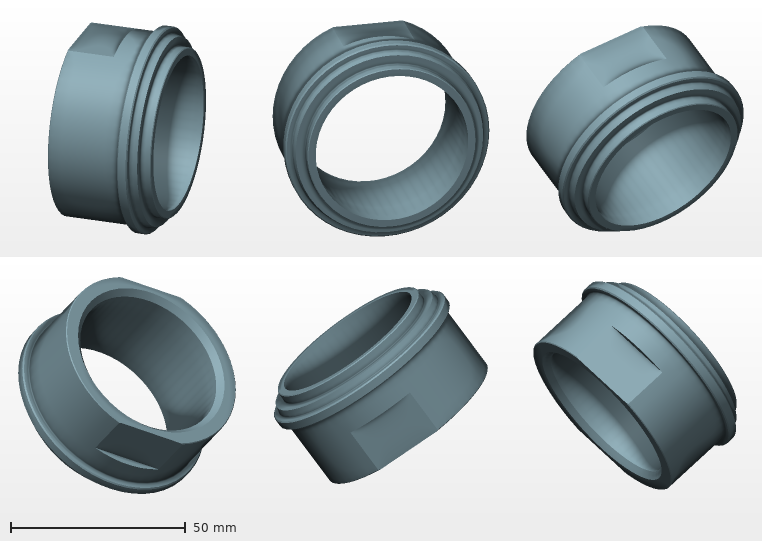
import cadquery as cq
import math

length = 30.0
collar_start = 21.5
collar_end = 24.55
taper_end = 26.9

bore_radius = 44.8 / 2
mouth_radius = 48.25 / 2
body_radius = 56.0 / 2
collar_radius = 60.0 / 2
taper_end_radius = 27.55
spigot_radius = 49.5 / 2

mouth_depth = 1.75
body_chamfer = 0.25
collar_chamfer = 0.35
spigot_chamfer = 0.25
root_fillet = 0.35

across_flats = 51.95
flat_length = 14.0


def root_arc(profile, start, end, center, x_sign):
    """Run the profile to a root corner and round it; x_sign points from the center to the corner."""
    offset = root_fillet / math.sqrt(2)
    middle = (center[0] + x_sign * offset, center[1] - offset)
    return profile.lineTo(*start).threePointArc(middle, end)


def make_ring():
    """Revolve the half section, drawn as (axial position, radius)."""
    fillet_radius = body_radius + root_fillet
    before_collar = collar_start - root_fillet
    after_collar = collar_end + root_fillet
    after_taper = taper_end + root_fillet
    spigot_fillet_radius = spigot_radius + root_fillet

    profile = (
        cq.Workplane("XY")
        .moveTo(0, mouth_radius)
        .lineTo(0, body_radius - body_chamfer)
        .lineTo(body_chamfer, body_radius)
    )
    profile = root_arc(
        profile, (before_collar, body_radius), (collar_start, fillet_radius),
        (before_collar, fillet_radius), 1,
    )
    profile = (
        profile.lineTo(collar_start, collar_radius - collar_chamfer)
        .lineTo(collar_start + collar_chamfer, collar_radius)
        .lineTo(collar_end - collar_chamfer, collar_radius)
        .lineTo(collar_end, collar_radius - collar_chamfer)
    )
    profile = root_arc(
        profile, (collar_end, fillet_radius), (after_collar, body_radius),
        (after_collar, fillet_radius), -1,
    )
    profile = profile.lineTo(taper_end, taper_end_radius)
    profile = root_arc(
        profile, (taper_end, spigot_fillet_radius), (after_taper, spigot_radius),
        (after_taper, spigot_fillet_radius), -1,
    )
    profile = (
        profile.lineTo(length - spigot_chamfer, spigot_radius)
        .lineTo(length, spigot_radius - spigot_chamfer)
        .lineTo(length, bore_radius)
        .lineTo(mouth_depth, bore_radius)
        .close()
    )
    return profile.revolve(360, (0, 0, 0), (1, 0, 0))


def cut_flats(ring):
    """Cut the two parallel wrench flats on the +Z and -Z sides."""
    cutter_height = collar_radius - across_flats / 2
    for side in (1, -1):
        cutter = cq.Workplane("XY").box(flat_length, 2 * collar_radius, cutter_height)
        cutter = cutter.translate((flat_length / 2, 0, side * (across_flats + cutter_height) / 2))
        ring = ring.cut(cutter)
    return ring


result = cut_flats(make_ring())